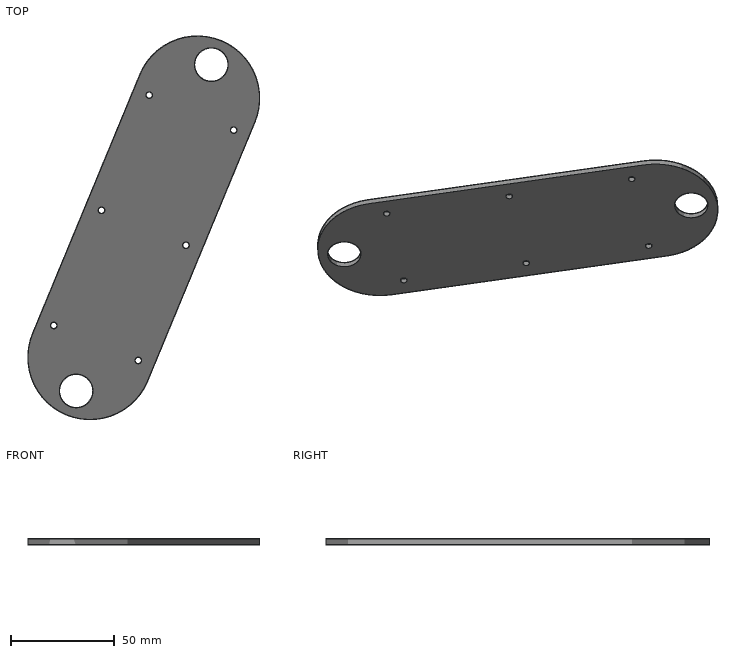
import cadquery as cq

plate_thickness = 3.0
plate_width = 60.0
end_center_distance = 135.0
plate_angle = 67.5

large_hole_diameter = 16.0
large_hole_spacing = 170.0

small_hole_diameter = 3.0
small_hole_pitch = 60.0
small_hole_rows = 3
small_hole_row_gap = 44.0


def make_plate():
    """Flat bar with full-round ends, long axis along X, centred on the origin."""
    overall_length = end_center_distance + plate_width
    return cq.Workplane("XY").slot2D(overall_length, plate_width).extrude(plate_thickness)


def cut_large_holes(plate):
    """One large through hole near each rounded end, on the long axis."""
    return (
        plate.faces(">Z").workplane(origin=(0, 0, plate_thickness))
        .rarray(large_hole_spacing, 1, 2, 1)
        .hole(large_hole_diameter)
    )


def cut_small_holes(plate):
    """Two rows of small through holes, symmetric about the long axis."""
    return (
        plate.faces(">Z").workplane(origin=(0, 0, plate_thickness))
        .rarray(small_hole_pitch, small_hole_row_gap, small_hole_rows, 2)
        .hole(small_hole_diameter)
    )


plate = make_plate()
plate = cut_large_holes(plate)
plate = cut_small_holes(plate)
result = plate.rotate((0, 0, 0), (0, 0, 1), plate_angle)